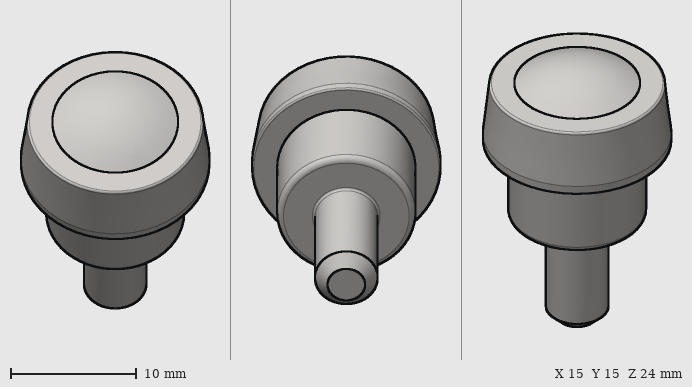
import cadquery as cq

total_height = 24.0
head_diameter = 15.0
head_radius = head_diameter / 2
pin_radius = head_radius / 3
pin_length = 10.0
tip_chamfer = 1.0
neck_fillet = 0.2
body_radius = 5.5
body_length = 7.0
body_fillet = 0.5
head_rim_height = 0.8
head_top_radius = 6.98
rim_fillet = 0.15
crown_fillet = 0.2
dome_radius = 2 * pin_radius
dome_height = 1.4

body_bottom = pin_length
head_bottom = body_bottom + body_length
rim_top = head_bottom + head_rim_height
head_top = total_height - dome_height


def make_pin():
    """Pin with a chamfered free end."""
    return cq.Workplane("XY").circle(pin_radius).extrude(pin_length).faces("<Z").chamfer(tip_chamfer)


def make_body():
    """Cylindrical shoulder with a rounded lower edge."""
    body = cq.Workplane("XY", origin=(0, 0, body_bottom)).circle(body_radius).extrude(body_length)
    return body.faces("<Z").edges().fillet(body_fillet)


def make_head():
    """Knob head with a straight rim, tapered side and rounded outer edges."""
    profile = (
        cq.Workplane("XZ")
        .moveTo(0, head_bottom)
        .lineTo(head_radius, head_bottom)
        .lineTo(head_radius, rim_top)
        .lineTo(head_top_radius, head_top)
        .lineTo(0, head_top)
        .close()
    )
    head = profile.revolve(360, (0, 0, 0), (0, 1, 0))
    head = head.faces("<Z").edges().fillet(rim_fillet)
    return head.faces(">Z").edges().fillet(crown_fillet)


def make_dome():
    """Spherical cap on the head."""
    sphere_radius = (dome_radius**2 + dome_height**2) / (2 * dome_height)
    arc_middle_radius = dome_radius / 2
    sphere_center = total_height - sphere_radius
    arc_middle_height = sphere_center + (sphere_radius**2 - arc_middle_radius**2) ** 0.5
    profile = (
        cq.Workplane("XZ")
        .moveTo(0, head_top)
        .lineTo(dome_radius, head_top)
        .threePointArc((arc_middle_radius, arc_middle_height), (0, total_height))
        .close()
    )
    return profile.revolve(360, (0, 0, 0), (0, 1, 0))


shank = make_pin().union(make_body())

neck_region = cq.selectors.BoxSelector(
    (-pin_radius, -pin_radius, body_bottom - neck_fillet),
    (pin_radius, pin_radius, body_bottom + neck_fillet),
)
shank = shank.edges(neck_region).edges(cq.selectors.RadiusNthSelector(0)).fillet(neck_fillet)

result = shank.union(make_head()).union(make_dome())